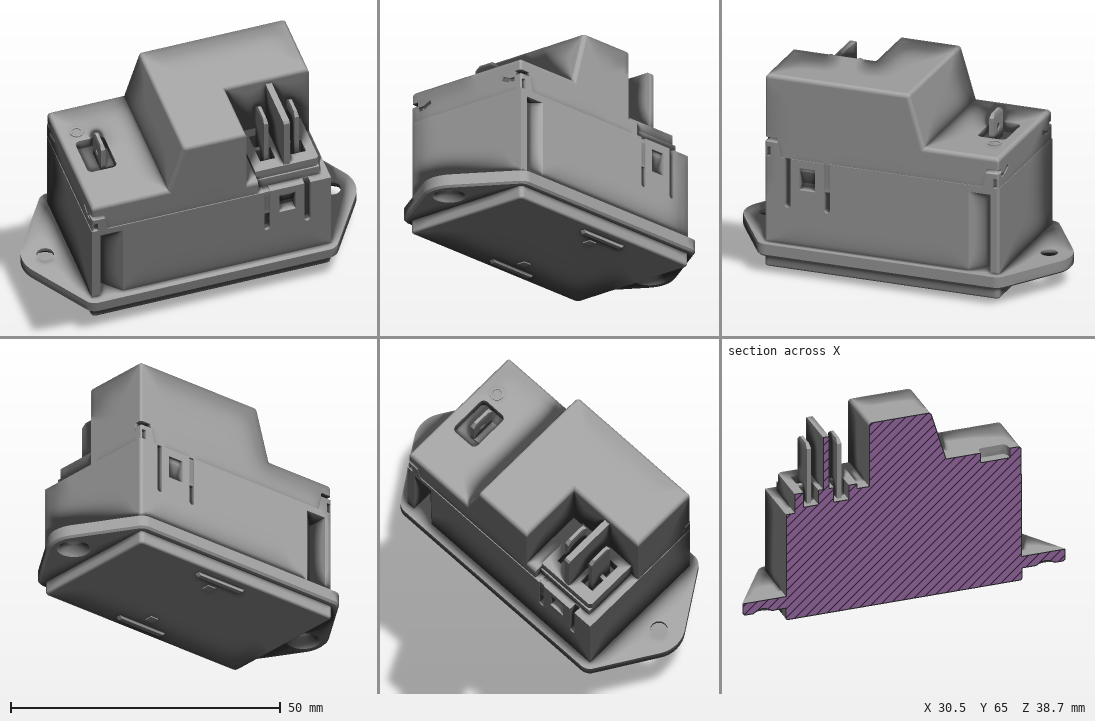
import cadquery as cq
import math


tolerance = 0.01

flange_width = 30.5
flange_length = 64.96
flange_thickness = 2.5
flange_tip_radius = 6.0
flange_corner_radius = 2.3
flange_slope_angle = 32.5
flange_bottom_chamfer = 0.4
screw_hole_diameter = 3.25
countersink_diameter = 6.3
countersink_start = -0.7
screw_hole_offset = 28.0

panel_width = 27.6
panel_length = 46.75
panel_bottom = -4.95
panel_corner_radius = 0.8
panel_edge_fillet = 0.45
rail_bottom = -5.5
rail_width = 0.95
rail_offset = 11.27
rail_start = -3.43
rail_end = 7.45
rail_chamfer = 0.4
pad_size = 1.7
pad_offset = 8.13
pad_height = 0.2

shell_width = 27.3
shell_length = 46.7
seam_height = 17.06
shell_corner_radius = 0.6

cap_width = 27.0
cap_length = 46.5
cap_top = 33.2
step_height = 23.0
slope_top_y = -5.3
slope_bottom_y = -8.35
cap_corner_radius = 0.45
cap_edge_fillet = 0.8

terminal_wall_x = 0.69
terminal_wall_y = 6.9
terminal_bay_y = 9.2
shelf_height = 20.0
block_right = 11.75
block_plinth_right = 12.05
block_back = 21.6
block_corner_chamfer = 0.5
block_height = 21.0
plinth_height = 19.0
divider_y = 15.4
divider_thickness = 1.2
divider_right = 11.6
divider_top = 31.85
divider_chamfer = 0.4
entry_width = 3.05
entry_length = 2.95
entry_gap = 0.75
entry_depth = 3.0
terminal_tab_x = 5.95
terminal_tab_ys = (12.4, 18.4)
terminal_tab_top = 30.15

tab_width = 4.9
tab_thickness = 0.85
tab_tip_width = 3.1
tab_tip_height = 0.8
tab_tip_thickness = 0.6
tab_hole_diameter = 1.4
tab_hole_drop = 3.15

earth_tab_y = -17.45
earth_tab_top = 26.9
earth_opening_width = 8.5
earth_opening_front = -20.9
earth_opening_back = -15.2
earth_opening_radius = 1.0
earth_opening_depth = 2.0
earth_foot_length = 1.75
earth_foot_height = 0.5
earth_mark_x = -6.57
earth_mark_y = -19.7
earth_mark_diameter = 2.5
earth_mark_line = 0.3
earth_mark_height = 0.2

latch_inner_x = 11.98
latch_top = 20.75
latch_base_y = 20.15
latch_top_y = 20.93
latch_bevel_height = 0.88
latch_bevel_width = 1.3
latch_underside = 18.95
latch_slot_inner_y = 22.1
latch_slot_outer_y = 22.95
latch_slot_depth = 0.8

groove_width = 0.8
groove_depth = 0.5
groove_height = 19.22
groove_bend_x = 10.7
groove_end_x = 8.8
groove_end_height = 20.05
passage_width = 0.32
passage_height = 0.75
passage_x = -11.8

slot_width = 1.15
slot_bottom = 7.25
slot_ys = (18.75, 10.9)
slot_depth = 1.5
slot_cover_bottom = 11.35
slot_cover_y = slot_ys[1]
slot_cover_recess = 0.25
slot_cover_drop = 0.2
window_y = 14.85
window_length = 3.2
window_bottom = 11.1
window_top = 15.5
snap_tip_height = 14.7
snap_root_height = 11.9
snap_recess = 0.6
window_depth = 2.0

recess_start_y = -17.25
recess_end_y = -21.67
recess_top = 15.7


def box(x0, x1, y0, y1, z0, z1):
    return cq.Workplane("XY").box(x1 - x0, y1 - y0, z1 - z0, centered=False).translate((x0, y0, z0))


def centred_block(width, length, z0, z1):
    return box(-width / 2, width / 2, -length / 2, length / 2, z0, z1)


def yz_prism(points, x0, x1):
    return cq.Workplane("YZ").polyline(points).close().extrude(x1 - x0).translate((x0, 0, 0))


def mirrored(body):
    return body.mirror("YZ")


def make_flange():
    slope = math.radians(flange_slope_angle)
    apex_y = flange_length / 2 + flange_tip_radius * (1 / math.cos(slope) - 1)
    half_width = flange_width / 2
    corner_y = apex_y - half_width * math.tan(slope)
    outline = [
        (half_width, -corner_y),
        (half_width, corner_y),
        (0, apex_y),
        (-half_width, corner_y),
        (-half_width, -corner_y),
        (0, -apex_y),
    ]
    flange = cq.Workplane("XY").polyline(outline).close().extrude(-flange_thickness)
    flange = flange.edges("|Z").edges(">Y or <Y").fillet(flange_tip_radius)
    flange = flange.edges("|Z").edges(">X or <X").fillet(flange_corner_radius)
    return flange.faces("<Z").edges().chamfer(flange_bottom_chamfer)


def screw_hole(y):
    """Through hole, countersunk from the flange's lower face."""
    radius = screw_hole_diameter / 2
    profile = [
        (0, 0),
        (radius, 0),
        (radius, countersink_start),
        (countersink_diameter / 2, -flange_thickness),
        (0, -flange_thickness),
    ]
    hole = cq.Workplane("XZ").polyline(profile).close().revolve(360, (0, 0), (0, 1))
    return hole.translate((0, y, 0))


def make_panel():
    panel = centred_block(panel_width, panel_length, panel_bottom, -flange_thickness)
    panel = panel.edges("|Z").fillet(panel_corner_radius)
    panel = panel.faces("<Z").edges().fillet(panel_edge_fillet)
    pad_y = (rail_start + rail_end) / 2
    for side in (-1, 1):
        rail = box(-rail_width / 2, rail_width / 2, rail_start, rail_end, rail_bottom, panel_bottom)
        rail = rail.faces("<Z").edges("|X").chamfer(rail_chamfer)
        pad = centred_block(pad_size, pad_size, panel_bottom - pad_height, panel_bottom)
        panel = panel.union(rail.translate((side * rail_offset, 0, 0)))
        panel = panel.union(pad.translate((side * pad_offset, pad_y, 0)))
    return panel


def make_shell():
    shell = centred_block(shell_width, shell_length, 0, seam_height)
    return shell.edges("|Z").edges("<X").fillet(shell_corner_radius)


def make_cap():
    half_length = cap_length / 2
    profile = [
        (-half_length, seam_height),
        (half_length, seam_height),
        (half_length, cap_top),
        (slope_top_y, cap_top),
        (slope_bottom_y, step_height),
        (-half_length, step_height),
    ]
    half_width = cap_width / 2
    cap = yz_prism(profile, -half_width, half_width)
    cap = cap.cut(box(terminal_wall_x, half_width, terminal_wall_y, half_length, shelf_height, cap_top))
    cap = cap.edges("|Z").edges("<Y").fillet(cap_corner_radius)
    cap = cap.edges("|Z").edges("<X and >Y").fillet(cap_corner_radius)
    cap = cap.edges().filter(is_upper_cap_edge).fillet(cap_edge_fillet)
    return cap.cut(box(terminal_wall_x, half_width, terminal_bay_y, half_length, seam_height, cap_top))


def is_upper_cap_edge(edge):
    """True for the convex edges along the cap's top, slope, step and terminal shelf."""
    centre = edge.Center()
    on_top = centre.z > cap_top - tolerance
    on_step = abs(centre.z - step_height) < tolerance and centre.y < slope_bottom_y - tolerance
    on_slope = step_height + tolerance < centre.z and slope_bottom_y < centre.y < slope_top_y
    on_shelf = abs(centre.z - shelf_height) < tolerance
    on_shelf_side = on_shelf and centre.x > cap_width / 2 - tolerance
    return on_top or on_step or on_slope or on_shelf_side


def make_tab(x, y, base, top, hole):
    """Flat blade tab in the XZ plane with a tapered tip and, if wanted, a detent hole."""
    shoulder = top - tab_tip_height
    tab = box(-tab_width / 2, tab_width / 2, -tab_thickness / 2, tab_thickness / 2, base, shoulder)
    tip = (
        cq.Workplane("XY", origin=(0, 0, shoulder))
        .rect(tab_width, tab_thickness)
        .workplane(offset=tab_tip_height)
        .rect(tab_tip_width, tab_tip_thickness)
        .loft(ruled=True)
    )
    tab = tab.union(tip)
    if hole:
        centre = (0, tab_thickness / 2, top - tab_hole_drop)
        drill = cq.Workplane("XZ", origin=centre).circle(tab_hole_diameter / 2).extrude(tab_thickness)
        tab = tab.cut(drill)
    return tab.translate((x, y, 0))


def make_terminal_block():
    """Block with two blade tabs, their entries and the divider between them."""
    plinth = box(terminal_wall_x, block_plinth_right, terminal_bay_y, block_back, seam_height, plinth_height)
    block = box(terminal_wall_x, block_right, terminal_bay_y, block_back, seam_height, block_height)
    block = block.edges("|Z and >X and >Y").chamfer(block_corner_chamfer).union(plinth)
    entry_offset = (entry_width + entry_gap) / 2
    for y in terminal_tab_ys:
        for side in (-1, 1):
            entry = centred_block(entry_width, entry_length, block_height - entry_depth, block_height)
            block = block.cut(entry.translate((terminal_tab_x + side * entry_offset, y, 0)))
    for y in terminal_tab_ys:
        block = block.union(make_tab(terminal_tab_x, y, seam_height, terminal_tab_top, False))
    half_divider = divider_thickness / 2
    divider = box(
        terminal_wall_x,
        divider_right,
        divider_y - half_divider,
        divider_y + half_divider,
        seam_height,
        divider_top,
    )
    divider = divider.edges(">X and >Z").chamfer(divider_chamfer)
    return block.union(divider)


def earth_opening():
    opening = box(
        -earth_opening_width / 2,
        earth_opening_width / 2,
        earth_opening_front,
        earth_opening_back,
        step_height - earth_opening_depth,
        step_height,
    )
    return opening.edges("|Z").fillet(earth_opening_radius)


def make_earth_terminal():
    floor = step_height - earth_opening_depth
    foot = box(
        -tab_width / 2,
        tab_width / 2,
        earth_opening_back - earth_foot_length,
        earth_opening_back,
        floor,
        floor + earth_foot_height,
    )
    return foot.union(make_tab(0, earth_tab_y, floor, earth_tab_top, True))


def make_earth_mark():
    radius = earth_mark_diameter / 2
    ring = cq.Workplane("XY", origin=(earth_mark_x, earth_mark_y, step_height))
    return ring.circle(radius).circle(radius - earth_mark_line).extrude(earth_mark_height)


def latch_profile():
    outer_y = cap_length / 2
    return [
        (latch_base_y, seam_height),
        (latch_top_y, latch_top),
        (outer_y, latch_top),
        (outer_y, seam_height),
    ]


def latch_bevel():
    """Block whose upper faces slope down to the latch's outer sides, meeting in a hip at its corner."""
    shoulder = latch_top - latch_bevel_height
    below = centred_block(shell_width, cap_length, seam_height, shoulder)
    roof_width = shell_width - 2 * latch_bevel_width
    roof_length = cap_length - 2 * latch_bevel_width
    roof = (
        cq.Workplane("XY", origin=(0, 0, shoulder))
        .rect(shell_width, cap_length)
        .workplane(offset=latch_bevel_height)
        .rect(roof_width, roof_length)
        .loft(ruled=True)
    )
    return below.union(roof)


def make_latch():
    """Shell tongue at the +X +Y corner, bevelled on its outer top edges and slotted beside the cap corner."""
    half_width = shell_width / 2
    latch = yz_prism(latch_profile(), latch_inner_x, half_width)
    latch = latch.edges("|Z and >X and >Y").fillet(cap_corner_radius)
    outer_y = cap_length / 2
    latch = latch.intersect(latch_bevel())
    corner = box(latch_inner_x, half_width, latch_slot_outer_y, outer_y, seam_height, latch_underside)
    slot = box(
        half_width - latch_slot_depth,
        half_width,
        latch_slot_inner_y,
        latch_slot_outer_y,
        seam_height,
        latch_underside,
    )
    corner_post = box(
        latch_inner_x, cap_width / 2, latch_slot_outer_y, outer_y, seam_height, latch_underside
    )
    corner_post = corner_post.edges("|Z and >X and >Y").fillet(cap_corner_radius / 2)
    return latch.cut(corner).cut(slot).union(corner_post)


def front_groove():
    """Groove on the +X half of the cap's front: level from the corner, then bent upward and inward."""
    half = groove_width / 2
    bend_angle = math.atan2(groove_end_height - groove_height, groove_bend_x - groove_end_x)
    bend_length = math.hypot(groove_end_height - groove_height, groove_bend_x - groove_end_x)
    front_y = -cap_length / 2
    level = box(
        groove_bend_x,
        latch_inner_x,
        front_y,
        front_y + groove_depth,
        groove_height - half,
        groove_height + half,
    )
    bent = box(-bend_length, 0, front_y, front_y + groove_depth, -half, half)
    bent = bent.rotate((0, 0, 0), (0, 1, 0), math.degrees(bend_angle))
    return level.union(bent.translate((groove_bend_x, 0, groove_height)))


def side_slot(y):
    """Vertical round-bottomed slot, open at the shell's +X rim."""
    radius = slot_width / 2
    half_width = shell_width / 2
    end_height = slot_bottom + radius
    slot = box(half_width - slot_depth, half_width, y - radius, y + radius, end_height, seam_height)
    round_end = cq.Workplane("YZ", origin=(half_width, y, end_height)).circle(radius).extrude(-slot_depth)
    return slot.union(round_end)


def slot_cover():
    """Tongue filling the upper part of one slot, just under the shell's +X face."""
    radius = slot_width / 2
    half_width = shell_width / 2
    y = slot_cover_y
    return box(
        half_width - slot_depth,
        half_width - slot_cover_recess,
        y - radius,
        y + radius,
        slot_cover_bottom,
        seam_height - slot_cover_drop,
    )


def snap_window():
    """Window in the shell's +X side, less the wedge of the snap hook inside it."""
    half_width = shell_width / 2
    inner_x = half_width - window_depth
    y0 = window_y - window_length / 2
    window = box(inner_x, half_width, y0, y0 + window_length, window_bottom, window_top)
    hook_profile = [
        (inner_x, snap_root_height),
        (half_width - snap_recess, snap_tip_height),
        (half_width - snap_recess, window_top),
        (inner_x, window_top),
    ]
    hook = cq.Workplane("XZ").polyline(hook_profile).close().extrude(-window_length).translate((0, y0, 0))
    return window.cut(hook)


def side_recess():
    """Recess in the shell's +X side, with a floor that runs inward at 45 degrees."""
    half_width = shell_width / 2
    depth = recess_start_y - recess_end_y
    triangle = [
        (half_width, recess_start_y),
        (half_width, recess_end_y),
        (half_width - depth, recess_end_y),
    ]
    return cq.Workplane("XY").polyline(triangle).close().extrude(recess_top)


def add_latches(body):
    """Front latches on both sides and a back latch on the -X side; the terminals take the fourth corner."""
    back_latch = make_latch()
    back_room = yz_prism(latch_profile(), latch_inner_x, shell_width / 2)
    front_latch = back_latch.mirror("XZ")
    front_room = back_room.mirror("XZ")
    pairs = [
        (front_room, front_latch),
        (mirrored(front_room), mirrored(front_latch)),
        (mirrored(back_room), mirrored(back_latch)),
    ]
    for room, latch in pairs:
        body = body.cut(room).union(latch)
    return body


def cut_both_sides(body, tool):
    return body.cut(tool).cut(mirrored(tool))


cap = make_cap().cut(earth_opening())
cap = cut_both_sides(add_latches(cap), front_groove())

shell = make_shell()
for slot_y in slot_ys:
    shell = cut_both_sides(shell, side_slot(slot_y))
shell = shell.union(slot_cover()).union(mirrored(slot_cover()))
shell = cut_both_sides(shell, snap_window())
shell = cut_both_sides(shell, side_recess())

flange = make_flange()
for hole_y in (-screw_hole_offset, screw_hole_offset):
    flange = flange.cut(screw_hole(hole_y))

result = flange.union(make_panel()).union(shell).union(cap)
result = result.union(make_terminal_block()).union(make_earth_terminal()).union(make_earth_mark())

passage = centred_block(
    passage_width, cap_length, groove_height - passage_height / 2, groove_height + passage_height / 2
)
result = result.cut(passage.translate((passage_x, 0, 0)))